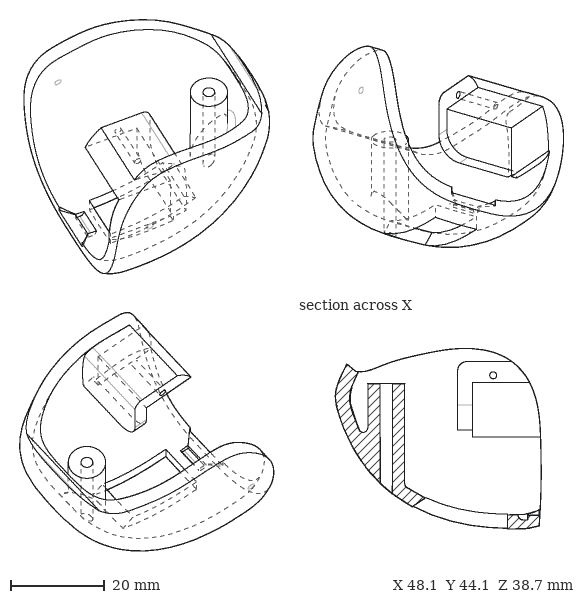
import cadquery as cq
import math

half_width = 24.05
wall = 3.1
egg_center = (7.2, 25.5)
keel_power = 2.2
outer_power = 2.9
cavity_power = 3.3
pole_scale = 0.03
section_steps = 10
keel_points = [
    (5.77, 46.7), (-6.75, 39.45), (-11.05, 25.5), (-6.75, 8.65), (0.0, 0.85),
    (6.75, 0.0), (14.9, 0.63), (24.55, 3.3), (33.25, 8.65), (39.9, 16.65), (43.35, 24.55), (44.1, 28.65),
    (42.4, 33.9), (37.3, 42.35), (24.05, 48.35),
]

length = 44.1
height = 38.7
front_foot = (0.5, 0.0)
mouth_curve = [
    (0.05, 8.65), (0.1, 18.3), (0.75, 26.25), (3.4, 32.9), (7.35, 36.55),
    (16.35, height), (26.0, 37.35), (33.92, 35.1),
]
mouth_valley = (38.25, 33.7)
mouth_lip = (39.7, 33.8)
back_tip = (41.35, 35.15)

post_y = 33.15
post_top = 31.15
post_diameter = 8.0
post_hole = 2.5
post_base_fillet = 0.95

window_width = 10.5
window_front = 7.25
window_back = 24.55
window_top = 14.45
window_back_top = 6.85
window_back_slope = 1.5

latch_floor = 3.05
latch_mouth_width = 11.15
latch_width = 6.05
latch_step = 2.95
latch_back = 4.95
latch_groove = 1.0
latch_top = 7.2

bracket_left = 2.55
bracket_back = 17.9
bracket_top = 35.85
slab_bottom = 31.37
plate_bottom = 21.2
plate_thickness = 3.15
plate_corner = 5.3
bracket_back_round = 1.95
pad_left = 19.0
pad_bottom = 19.75
pin_hole = 1.5
pin_y = 10.3
pin_z = 32.9
pin_depth = 9.6


def keel_wire(scale, x, inset):
    """Keel outline at one X, pulled in by inset and scaled about the egg centre."""
    center_y, center_z = egg_center
    points = []
    for y, z in keel_points:
        dy = y - center_y
        dz = z - center_z
        shrink = scale * (1 - inset / math.hypot(dy, dz))
        points.append((center_y + dy * shrink, center_z + dz * shrink))
    return cq.Workplane("YZ", origin=(x, 0, 0)).spline(points, periodic=True).wire().val()


def egg(inset, end_power):
    """Solid egg, smaller than the outside by inset."""
    last_angle = math.acos(pole_scale)
    wires = []
    for step in range(-section_steps, section_steps + 1):
        angle = last_angle * step / section_steps
        scale = math.cos(angle)
        reach = (1 - scale ** keel_power) ** (1 / end_power)
        x = math.copysign((half_width - inset) * reach, step)
        wires.append(keel_wire(scale, x, inset))
    return cq.Workplane(cq.Solid.makeLoft(wires))


def box(x_range, y_range, z_range):
    """Box between the given limits."""
    limits = (x_range, y_range, z_range)
    sizes = [high - low for low, high in limits]
    corner = [low for low, high in limits]
    return cq.Workplane().box(*sizes, centered=False).translate(tuple(corner))


def trimmed_region():
    """Prism along X holding all that lies below and behind the mouth."""
    return (
        cq.Workplane("YZ", origin=(-half_width, 0, 0))
        .moveTo(*front_foot)
        .spline(mouth_curve + [mouth_valley, mouth_lip], includeCurrent=True)
        .lineTo(*back_tip)
        .lineTo(length + wall, height)
        .lineTo(length + wall, -wall)
        .lineTo(front_foot[0], -wall)
        .close()
        .extrude(2 * half_width)
    )


def bracket():
    """Slab, hanging plate and wall pad; they run past the shell and are trimmed later."""
    block = box((bracket_left, half_width), (0, bracket_back), (plate_bottom, bracket_top))
    block = block.edges("|X and >Y and >Z").fillet(bracket_back_round)
    block = block.edges("|Y and <X and <Z").fillet(plate_corner)
    plate_front = bracket_back - plate_thickness
    under_slab = box((0, half_width), (0, plate_front), (0, slab_bottom))
    pad = box((pad_left, half_width), (0, plate_front), (pad_bottom, slab_bottom))
    pin = (
        cq.Workplane("YZ", origin=(bracket_left, 0, 0))
        .center(pin_y, pin_z)
        .circle(pin_hole / 2)
        .extrude(pin_depth)
    )
    return block.cut(under_slab).union(pad).cut(pin)


def post():
    """Upright post running down into the floor."""
    return cq.Workplane().center(0, post_y).circle(post_diameter / 2).extrude(post_top)


def window():
    """Floor window cutter; its back wall leans outward on the way down."""
    bottom = -wall
    foot = window_back + window_back_slope * (window_back_top - bottom)
    return (
        cq.Workplane("YZ", origin=(-window_width / 2, 0, 0))
        .polyline([
            (window_front, bottom), (window_front, window_top), (window_back, window_top),
            (window_back, window_back_top), (foot, bottom),
        ])
        .close()
        .extrude(window_width)
    )


def latch_pocket():
    """Flared pocket in the front lip with a rounded groove behind it."""
    half_mouth = latch_mouth_width / 2
    half_inner = latch_width / 2
    flare = (
        cq.Workplane(origin=(0, 0, latch_floor))
        .polyline([
            (-half_mouth, 0), (-half_mouth, front_foot[0]),
            (-half_inner, latch_step), (half_inner, latch_step),
            (half_mouth, front_foot[0]), (half_mouth, 0),
        ])
        .close()
        .extrude(latch_top - latch_floor)
    )
    groove = box(
        (-half_inner, half_inner), (latch_step, latch_back), (latch_floor - latch_groove, latch_top)
    )
    return flare.union(groove.edges("|X and >Y and <Z").fillet(latch_groove))


outside = egg(0, outer_power)
shell = outside.cut(egg(wall, cavity_power))
shell = shell.union(post().intersect(outside))

post_foot = cq.selectors.BoxSelector(
    (-post_diameter, post_y - post_diameter, wall),
    (post_diameter, post_y + post_diameter, post_top - wall),
    boundingbox=True,
)
shell = shell.edges(post_foot).fillet(post_base_fillet)

shell = shell.union(bracket().intersect(outside))
shell = shell.intersect(trimmed_region())
post_bore = cq.Workplane().center(0, post_y).circle(post_hole / 2).extrude(post_top)
result = shell.cut(post_bore).cut(window()).cut(latch_pocket())